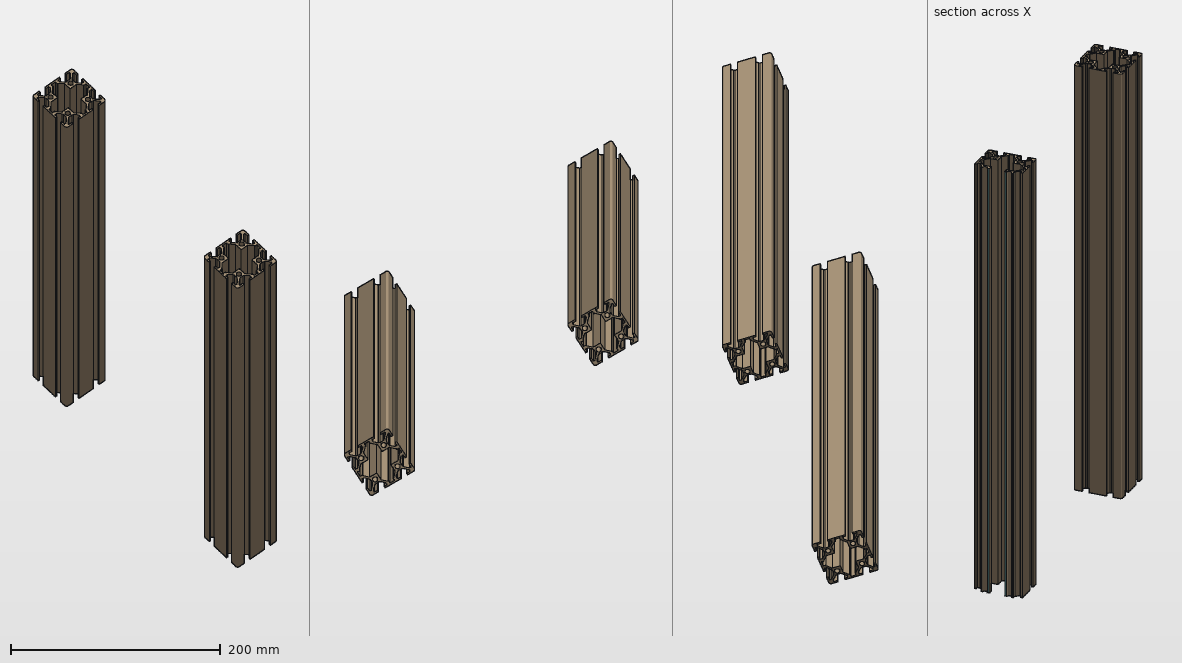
import cadquery as cq
import math

LENGTH = 450.0
SIDE = 50.0
POST_SPACING = 250.0

WALL = 2.0
CORNER_RADIUS = 2.2
CORNER_BLOCK = 5.0
PAD_DEPTH = 4.5
PAD_WIDTH = 11.5
NOTCH_WIDTH = 5.0

CORE_PITCH = 25.0
CORE_SIDE = 9.5
BORE_DIAMETER = 5.0
WEB_THICKNESS = 2.02

SLOT_WIDTH = 7.0
GROOVE_DEPTH = 0.68
GROOVE_TOP_WIDTH = 6.5
GROOVE_BOTTOM_WIDTH = 3.5

HALF_SIDE = SIDE / 2
CORE_OFFSET = CORE_PITCH / 2
SLOT_FLOOR = CORE_OFFSET + CORE_SIDE / 2


def turned(body, quarter_turns):
    """Body rotated about the post axis by a number of quarter turns."""
    return body.rotate((0, 0, 0), (0, 0, 1), 90 * quarter_turns)


def bar(width, depth, x=0, y=0):
    """Full-length rectangular bar centred on (x, y)."""
    return cq.Workplane("XY").center(x, y).rect(width, depth).extrude(LENGTH)


def envelope():
    """Solid square bar with rounded edges that encloses one post."""
    return bar(SIDE, SIDE).edges("|Z").fillet(CORNER_RADIUS)


def wall_tube():
    """Plain square tube of wall thickness."""
    inside = SIDE - 2 * WALL
    return bar(SIDE, SIDE).cut(bar(inside, inside))


def quarter_webs():
    """Web from the +X +Y core to its corner, and the web across the core to both walls."""
    core_radius = CORE_OFFSET * math.sqrt(2)
    corner_radius = HALF_SIDE * math.sqrt(2)
    corner_web = bar(corner_radius - core_radius, WEB_THICKNESS, (core_radius + corner_radius) / 2)
    cross_web = bar(WEB_THICKNESS, 2 * core_radius, core_radius)
    return corner_web.union(cross_web).rotate((0, 0, 0), (0, 0, 1), 45)


def quarter_frame():
    """Core, corner block and webs of the +X +Y quarter."""
    core = bar(CORE_SIDE, CORE_SIDE, CORE_OFFSET, CORE_OFFSET)
    block_center = HALF_SIDE - CORNER_BLOCK / 2
    block = bar(CORNER_BLOCK, CORNER_BLOCK, block_center, block_center)
    return core.union(quarter_webs()).union(block)


def wall_pad():
    """Thickened middle of the +Y wall, before its notch is cut."""
    return bar(PAD_WIDTH, PAD_DEPTH, 0, HALF_SIDE - PAD_DEPTH / 2)


def wall_notch():
    """Cutter that returns the very middle of the +Y pad to the plain wall thickness."""
    depth = PAD_DEPTH - WALL
    return bar(NOTCH_WIDTH, depth, 0, HALF_SIDE - WALL - depth / 2)


def slot_mouth(offset):
    """Cutter for the mouth of one slot through the +Y wall."""
    return bar(SLOT_WIDTH, WALL, offset, HALF_SIDE - WALL / 2)


def floor_groove(offset):
    """Cutter for the tapered groove in the core face under one +Y slot mouth."""
    top = GROOVE_TOP_WIDTH / 2
    bottom = GROOVE_BOTTOM_WIDTH / 2
    outline = [
        (offset - top, SLOT_FLOOR),
        (offset + top, SLOT_FLOOR),
        (offset + bottom, SLOT_FLOOR - GROOVE_DEPTH),
        (offset - bottom, SLOT_FLOOR - GROOVE_DEPTH),
    ]
    return cq.Workplane("XY").polyline(outline).close().extrude(LENGTH)


def bores():
    """Round bores through the four cores."""
    centers = cq.Workplane("XY").rect(CORE_PITCH, CORE_PITCH, forConstruction=True).vertices()
    return centers.circle(BORE_DIAMETER / 2).extrude(LENGTH)


def make_post():
    """One slotted square post standing on the XY plane, centred on the Z axis."""
    post = wall_tube()
    for turn in range(4):
        post = post.union(turned(quarter_frame(), turn))
        post = post.union(turned(wall_pad(), turn))
    post = post.intersect(envelope())
    for turn in range(4):
        post = post.cut(turned(wall_notch(), turn))
        for offset in (-CORE_OFFSET, CORE_OFFSET):
            post = post.cut(turned(slot_mouth(offset), turn))
            post = post.cut(turned(floor_groove(offset), turn))
    return post.cut(bores())


post = make_post()
posts = []
for x in (-POST_SPACING / 2, POST_SPACING / 2):
    posts.extend(post.translate((x, 0, 0)).solids().vals())

result = cq.Compound.makeCompound(posts)